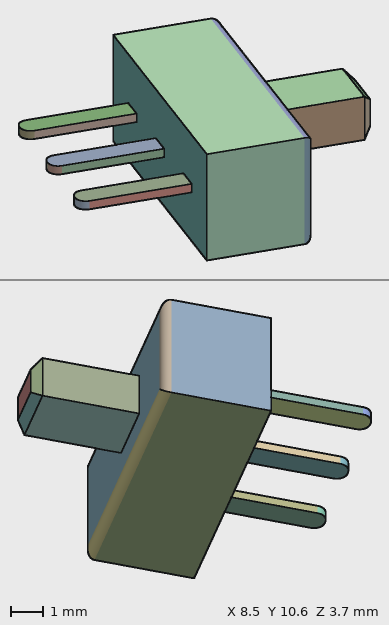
import cadquery as cq

total_length = 10.6

body_width = 8.5
body_depth = 3.5
body_height = 3.7
body_edge_radius = 0.3

pin_count = 3
pin_pitch = 2.5
pin_width = 0.75
pin_thickness = 0.3
pin_length = 3.7
pin_tip_radius = 0.35

lever_width = 2.0
lever_height = 1.5
lever_length = total_length - body_depth - pin_length
lever_offset = -0.7
lever_chamfer = 0.3


def block(width, length, height, x_center, y_start):
    """Box centred on Z = 0 that runs from y_start toward +Y."""
    return (
        cq.Workplane("XY")
        .box(width, length, height, centered=(True, False, True))
        .translate((x_center, y_start, 0))
    )


def make_body():
    """Housing with a rounded rim on its lever side."""
    body = block(body_width, body_depth, body_height, 0, 0)
    return body.faces(">Y").edges().fillet(body_edge_radius)


def make_lever():
    """Sliding lever with a chamfered end."""
    lever = block(lever_width, lever_length, lever_height, lever_offset, body_depth)
    return lever.faces(">Y").edges().chamfer(lever_chamfer)


def make_pin(x_center):
    """Flat pin with rounded tip corners."""
    pin = block(pin_width, pin_length, pin_thickness, x_center, -pin_length)
    return pin.faces("<Y").edges("|Z").fillet(pin_tip_radius)


result = make_body().union(make_lever())
for index in range(pin_count):
    pin_x = (index - (pin_count - 1) / 2) * pin_pitch
    result = result.union(make_pin(pin_x))